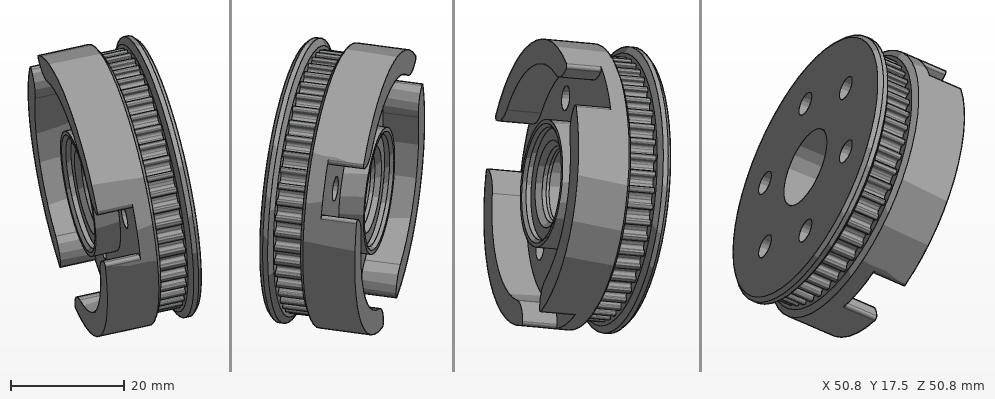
import cadquery as cq
import math

outer_radius = 25.4
total_depth = 17.5

jaw_count = 3
jaw_depth = 6.45
jaw_inner_radius = 21.05
jaw_end_radius = 5.0
jaw_tip_radius = 0.6
jaw_gap_half_width = 4.5
pocket_overrun = 0.5

back_flange_width = 2.35
track_width = 5.0
flange_bevel_depth = 0.7
flange_bevel_height = 1.2
back_chamfer = 0.7

tooth_count = 50
tooth_tip_radius = 23.45
groove_half_width = 0.9
groove_floor_half_width = 0.3
groove_depth = 1.2
tooth_corner_radius = 0.3

hub_face_y = 1.95
hub_radius = 11.35
seat_radius = 10.0
seat_chamfer = 0.6
seat_depth = 1.5
bore_cone_radius = 7.75
lip_edge_radius = 6.8
lip_radius = 6.5
lip_edge_depth = 0.65
lip_width = 0.55
back_bore_radius = 7.3

hole_count = 6
hole_diameter = 4.35
hole_circle_radius = 15.9

up = math.pi / 2
flange_inner_y = total_depth - back_flange_width
track_front_y = flange_inner_y - track_width
seat_floor_y = hub_face_y + seat_depth
lip_edge_y = seat_floor_y + bore_cone_radius - lip_edge_radius
lip_front_y = lip_edge_y + lip_edge_depth
lip_back_y = lip_front_y + lip_width
bevel_radius = outer_radius - flange_bevel_height


def polar(radius, angle, center=(0, 0)):
    """Point at a radius and an angle (radians from +X) about a centre."""
    return (center[0] + radius * math.cos(angle), center[1] + radius * math.sin(angle))


def mirrored(point):
    """The same point on the other side of the Z axis."""
    return (-point[0], point[1])


def extrude_along_y(start_y, depth, draw):
    """Extrude the outline made by draw() from start_y towards +Y."""
    plane = cq.Plane(origin=(0, start_y, 0), xDir=(1, 0, 0), normal=(0, -1, 0))
    return draw(cq.Workplane(plane)).extrude(-depth)


def make_turned_body():
    """Flanges, belt track, hub and stepped bore as one revolved (radius, y) profile."""
    profile = [
        (hub_radius, 0),
        (outer_radius, 0),
        (outer_radius, track_front_y - flange_bevel_depth),
        (bevel_radius, track_front_y),
        (tooth_tip_radius, track_front_y),
        (tooth_tip_radius, flange_inner_y),
        (bevel_radius, flange_inner_y),
        (outer_radius, flange_inner_y + flange_bevel_depth),
        (outer_radius, total_depth - back_chamfer),
        (outer_radius - back_chamfer, total_depth),
        (back_bore_radius, total_depth),
        (back_bore_radius, lip_back_y),
        (lip_radius, lip_back_y),
        (lip_radius, lip_front_y),
        (lip_edge_radius, lip_edge_y),
        (bore_cone_radius, seat_floor_y),
        (seat_radius, seat_floor_y),
        (seat_radius, hub_face_y + seat_chamfer),
        (seat_radius + seat_chamfer, hub_face_y),
        (hub_radius, hub_face_y),
    ]
    return cq.Workplane("XY").polyline(profile).close().revolve(360, (0, 0, 0), (0, 1, 0))


def draw_jaw(sketch):
    """Jaw centred on +Z, carried past the outer circle so that it fully interrupts the pocket.

    Each end is one round tangent to the inner wall, with a smaller round leading to the outer circle.
    """
    end_center_radius = jaw_inner_radius + jaw_end_radius
    half_pitch = math.pi / jaw_count
    end_angle = up - half_pitch + math.asin((jaw_gap_half_width + jaw_end_radius) / end_center_radius)

    tip_center_radius = outer_radius - jaw_tip_radius
    center_spacing = jaw_end_radius - jaw_tip_radius
    spread_cosine = (end_center_radius**2 + tip_center_radius**2 - center_spacing**2) / (
        2 * end_center_radius * tip_center_radius
    )
    tip_angle = end_angle - math.acos(spread_cosine)
    end_center = polar(end_center_radius, end_angle)
    tip_center = polar(tip_center_radius, tip_angle)

    wall_direction = end_angle - math.pi
    meeting_direction = math.atan2(tip_center[1] - end_center[1], tip_center[0] - end_center[0])
    end_sweep = (meeting_direction - wall_direction) % (2 * math.pi)
    tip_sweep = (tip_angle - meeting_direction) % (2 * math.pi)

    wall_end = polar(jaw_inner_radius, end_angle)
    end_middle = polar(jaw_end_radius, wall_direction + end_sweep / 2, end_center)
    tip_start = polar(jaw_tip_radius, meeting_direction, tip_center)
    tip_middle = polar(jaw_tip_radius, meeting_direction + tip_sweep / 2, tip_center)
    tip_end = polar(outer_radius, tip_angle)
    jaw_overrun_radius = outer_radius + 2 * pocket_overrun
    overrun_end = polar(jaw_overrun_radius, tip_angle)

    return (
        sketch.moveTo(*mirrored(tip_end))
        .lineTo(*mirrored(overrun_end))
        .threePointArc((0, jaw_overrun_radius), overrun_end)
        .lineTo(*tip_end)
        .threePointArc(tip_middle, tip_start)
        .threePointArc(end_middle, wall_end)
        .threePointArc((0, jaw_inner_radius), mirrored(wall_end))
        .threePointArc(mirrored(end_middle), mirrored(tip_start))
        .threePointArc(mirrored(tip_middle), mirrored(tip_end))
        .close()
    )


def draw_pocket_ring(sketch):
    """Ring from the hub to just beyond the outer circle."""
    return sketch.circle(outer_radius + pocket_overrun).circle(hub_radius)


def draw_groove(sketch):
    """Belt groove centred on +Z: flat floor, rounded floor corners and rounded tooth corners."""
    floor_z = tooth_tip_radius - groove_depth
    floor_round = groove_half_width - groove_floor_half_width
    wall_foot = (groove_half_width, floor_z + floor_round)
    floor_round_center = (groove_floor_half_width, floor_z + floor_round)
    floor_round_middle = polar(floor_round, -math.pi / 4, floor_round_center)
    floor_end = (groove_floor_half_width, floor_z)

    corner_x = groove_half_width + tooth_corner_radius
    corner_z = math.sqrt((tooth_tip_radius - tooth_corner_radius) ** 2 - corner_x**2)
    tip_angle = math.atan2(corner_z, corner_x)
    wall_top = (groove_half_width, corner_z)
    corner_middle = polar(tooth_corner_radius, (tip_angle + math.pi) / 2, (corner_x, corner_z))
    corner_tip = polar(tooth_tip_radius, tip_angle)
    clear_point = (corner_tip[0], tooth_tip_radius + tooth_corner_radius)

    return (
        sketch.moveTo(*mirrored(corner_tip))
        .threePointArc(mirrored(corner_middle), mirrored(wall_top))
        .lineTo(*mirrored(wall_foot))
        .threePointArc(mirrored(floor_round_middle), mirrored(floor_end))
        .lineTo(*floor_end)
        .threePointArc(floor_round_middle, wall_foot)
        .lineTo(*wall_top)
        .threePointArc(corner_middle, corner_tip)
        .lineTo(*clear_point)
        .lineTo(*mirrored(clear_point))
        .close()
    )


def draw_holes(sketch):
    """Ring of round holes, the first one on +Z."""
    ring = sketch.polarArray(hole_circle_radius, math.degrees(up), 360, hole_count)
    return ring.circle(hole_diameter / 2)


def turned_copies(shape, count):
    """Copies of a shape spaced evenly about the pulley axis, as one compound."""
    step = 360 / count
    copies = [shape.val().rotate(cq.Vector(), cq.Vector(0, 1, 0), i * step) for i in range(count)]
    return cq.Workplane(cq.Compound.makeCompound(copies))


jaw = extrude_along_y(0, jaw_depth, draw_jaw)
pocket = extrude_along_y(0, jaw_depth, draw_pocket_ring).cut(turned_copies(jaw, jaw_count))
groove = extrude_along_y(track_front_y, track_width, draw_groove)
holes = extrude_along_y(jaw_depth, total_depth - jaw_depth, draw_holes)

result = (
    make_turned_body()
    .cut(pocket)
    .cut(turned_copies(groove, tooth_count))
    .cut(holes)
)